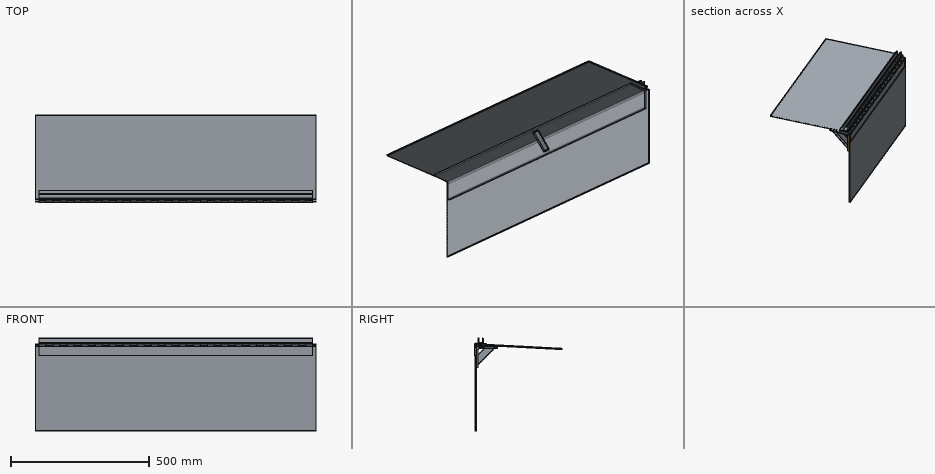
import cadquery as cq
import math


board_length = 1016.0
board_width = 305.0
board_thickness = 4.8
shelf_tilt = 3.0
panel_setback = 7.3
shelf_setback = 7.0

knuckle_count = 39
hinge_length = 991.0
knuckle_pitch = hinge_length / knuckle_count
leaf_width = 39.0
leaf_thickness = 2.0
pin_diameter = 6.3
pin_radius = pin_diameter / 2
knuckle_radius = pin_radius + leaf_thickness

channel_size = 19.0
channel_wall = 3.1

bracket_length = hinge_length
bracket_leg = 76.0
bracket_thickness = 6.3
bracket_root_radius = 6.0
bracket_toe_radius = 2.5

brace_leg = 25.0
brace_thickness = 4.0
brace_reach = 59.0

panel_front_y = leaf_thickness - knuckle_radius
panel_back_y = panel_front_y + board_thickness
panel_top_z = -panel_setback
shelf_top_z = knuckle_radius - leaf_thickness
shelf_underside_z = shelf_top_z - board_thickness


def block(x_size, y_min, y_max, z_min, z_max, x_centre=0):
    """Box given by its X length and its Y and Z limits."""
    centred = cq.Workplane("XY").box(x_size, y_max - y_min, z_max - z_min)
    return centred.translate((x_centre, (y_min + y_max) / 2, (z_min + z_max) / 2))


def x_cylinder(radius, length, x_centre=0):
    """Cylinder along the hinge axis."""
    return cq.Workplane("YZ").circle(radius).extrude(length / 2, both=True).translate((x_centre, 0, 0))


def extrude_along_x(profile, length):
    """Extrude a YZ profile equally to both sides of X = 0."""
    return profile.extrude(length / 2, both=True)


def tilt(body):
    """Swing a body from level to the shelf's resting angle."""
    return body.rotate((0, 0, 0), (1, 0, 0), -shelf_tilt)


def knuckle_centre(index):
    """X position of a knuckle, counted from the -X end."""
    return (index - (knuckle_count - 1) / 2) * knuckle_pitch


def make_panel():
    return block(board_length, panel_front_y, panel_back_y, panel_top_z - board_width, panel_top_z)


def make_shelf():
    level = block(board_length, shelf_setback, shelf_setback + board_width, shelf_underside_z, shelf_top_z)
    return tilt(level)


def make_leaf(first_knuckle):
    """Level leaf along +Y, tangent to the top of every second knuckle."""
    plate_bottom_z = knuckle_radius - leaf_thickness
    leaf = block(hinge_length, knuckle_radius, leaf_width, plate_bottom_z, knuckle_radius)
    for index in range(first_knuckle, knuckle_count, 2):
        x = knuckle_centre(index)
        tab = block(knuckle_pitch, 0, knuckle_radius, plate_bottom_z, knuckle_radius, x)
        leaf = leaf.union(tab).union(x_cylinder(knuckle_radius, knuckle_pitch, x))
    return leaf.cut(x_cylinder(pin_radius, hinge_length))


def make_panel_leaf():
    """Leaf hanging down the front of the panel, with the end knuckles."""
    front_leaf = make_leaf(first_knuckle=0).mirror("XZ")
    return front_leaf.rotate((0, 0, 0), (1, 0, 0), 90)


def make_shelf_leaf():
    return tilt(make_leaf(first_knuckle=1))


def make_pin():
    return x_cylinder(pin_radius, hinge_length)


def make_channel():
    """Upward-opening U whose front wall is in line with the shelf's front edge."""
    front_y = shelf_setback
    back_y = front_y + channel_size
    base_z = knuckle_radius
    top_z = base_z + channel_size
    outside = block(hinge_length, front_y, back_y, base_z, top_z)
    groove = block(hinge_length, front_y + channel_wall, back_y - channel_wall, base_z + channel_wall, top_z)
    return tilt(outside.cut(groove))


def make_bracket():
    """Rolled angle with a rounded root and rounded toes, flush with the panel's top."""
    profile = (
        cq.Workplane("YZ")
        .moveTo(0, 0)
        .lineTo(bracket_leg, 0)
        .lineTo(bracket_leg, -bracket_thickness + bracket_toe_radius)
        .radiusArc((bracket_leg - bracket_toe_radius, -bracket_thickness), bracket_toe_radius)
        .lineTo(bracket_thickness + bracket_root_radius, -bracket_thickness)
        .radiusArc((bracket_thickness, -bracket_thickness - bracket_root_radius), -bracket_root_radius)
        .lineTo(bracket_thickness, -bracket_leg + bracket_toe_radius)
        .radiusArc((bracket_thickness - bracket_toe_radius, -bracket_leg), bracket_toe_radius)
        .lineTo(0, -bracket_leg)
        .close()
    )
    return extrude_along_x(profile, bracket_length).translate((0, panel_back_y, panel_top_z))


def diagonal_bar(outer_reach, bar_width, length):
    """45-degree bar fitted between the bracket's legs; outer_reach is measured along each leg."""
    inner_reach = outer_reach - bar_width * math.sqrt(2)
    profile = cq.Workplane("YZ").polyline(
        [(inner_reach, 0), (outer_reach, 0), (0, -outer_reach), (0, -inner_reach)]
    ).close()
    inner_corner = (0, panel_back_y + bracket_thickness, panel_top_z - bracket_thickness)
    return extrude_along_x(profile, length).translate(inner_corner)


def make_brace():
    """Web on the +X side and a flange along the outer diagonal edge."""
    flange = diagonal_bar(brace_reach, brace_thickness, brace_leg)
    web = diagonal_bar(brace_reach, brace_leg, brace_thickness)
    return flange.union(web.translate(((brace_leg - brace_thickness) / 2, 0, 0)))


panel = make_panel()
shelf = make_shelf()
panel_leaf = make_panel_leaf()
shelf_leaf = make_shelf_leaf()
pin = make_pin()
channel = make_channel()
bracket = make_bracket()
brace = make_brace()

bodies = [panel, shelf, panel_leaf, shelf_leaf, pin, channel, bracket, brace]
result = cq.Compound.makeCompound([body.solids().val() for body in bodies])